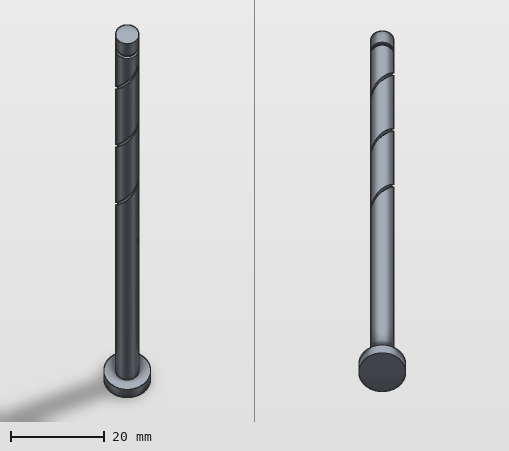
import cadquery as cq

total_height = 125.0
shaft_radius = 2.5
flange_radius = 5.0
flange_height = 3.0

ring_groove_depth = 0.5
ring_groove_width = 1.1
end_collar_height = 4.2

spiral_pitch = 21.0
spiral_turns = 3
spiral_height = spiral_pitch * spiral_turns
spiral_start_z = 51.5
spiral_section_radius = 0.5


def make_pin():
    flange = cq.Workplane("XY").circle(flange_radius).extrude(flange_height)
    shaft = cq.Workplane("XY").circle(shaft_radius).extrude(total_height)
    return flange.union(shaft)


def make_ring_groove():
    groove_bottom_z = total_height - end_collar_height - ring_groove_width
    return (
        cq.Workplane("XY", origin=(0, 0, groove_bottom_z))
        .circle(flange_radius)
        .circle(shaft_radius - ring_groove_depth)
        .extrude(ring_groove_width)
    )


def make_spiral_groove():
    path = cq.Wire.makeHelix(spiral_pitch, spiral_height, shaft_radius)
    return (
        cq.Workplane("XZ", origin=(shaft_radius, 0, 0))
        .circle(spiral_section_radius)
        .sweep(cq.Workplane(path), isFrenet=True)
        .translate((0, 0, spiral_start_z))
    )


result = make_pin().cut(make_ring_groove()).cut(make_spiral_groove())